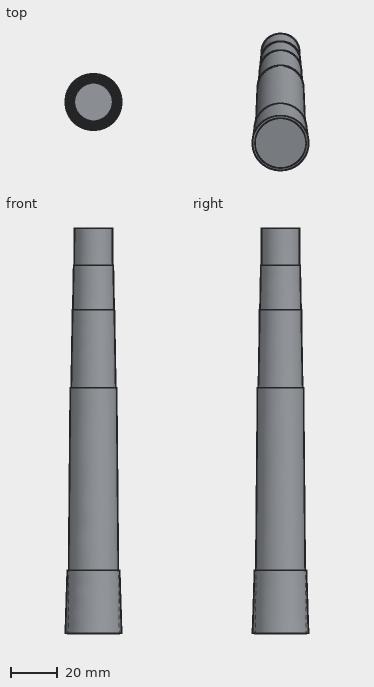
import cadquery as cq

TOTAL_HEIGHT = 173.47

SLEEVE_BOTTOM_Z = 0.25
SLEEVE_TOP_Z = 27.2
CORE_TOP_Z = 105.3
COLLAR_STEP_Z = 138.45
COLLAR_TOP_Z = 157.55

SLEEVE_BOTTOM_RADIUS = 12.07
SLEEVE_TOP_RADIUS = 11.23
CORE_BOTTOM_RADIUS = 10.92
CORE_TOP_RADIUS = 9.94
COLLAR_LOWER_BOTTOM_RADIUS = 9.55
COLLAR_LOWER_TOP_RADIUS = 8.98
COLLAR_UPPER_BOTTOM_RADIUS = 8.86
COLLAR_UPPER_TOP_RADIUS = 8.51
TIP_BOTTOM_RADIUS = 8.24
TIP_TOP_RADIUS = 8.20


def core_radius(z):
    """Radius of the core's taper at height z."""
    return CORE_BOTTOM_RADIUS + (CORE_TOP_RADIUS - CORE_BOTTOM_RADIUS) * z / CORE_TOP_Z


def turned(profile):
    """Solid of revolution about Z from a closed (radius, z) profile."""
    return cq.Workplane("XZ").polyline(profile).close().revolve(360, (0, 0, 0), (0, 1, 0))


def make_sleeve():
    """Tapered base sleeve, bored to fit the core that passes through it."""
    return turned([
        (core_radius(SLEEVE_BOTTOM_Z), SLEEVE_BOTTOM_Z),
        (SLEEVE_BOTTOM_RADIUS, SLEEVE_BOTTOM_Z),
        (SLEEVE_TOP_RADIUS, SLEEVE_TOP_Z),
        (core_radius(SLEEVE_TOP_Z), SLEEVE_TOP_Z),
    ])


def make_core():
    """Long, slightly tapered core, standing just proud of the sleeve's lower end."""
    return turned([
        (0, 0),
        (CORE_BOTTOM_RADIUS, 0),
        (CORE_TOP_RADIUS, CORE_TOP_Z),
        (0, CORE_TOP_Z),
    ])


def make_collar():
    """Tapered collar on top of the core, with one small step in its side."""
    return turned([
        (0, CORE_TOP_Z),
        (COLLAR_LOWER_BOTTOM_RADIUS, CORE_TOP_Z),
        (COLLAR_LOWER_TOP_RADIUS, COLLAR_STEP_Z),
        (COLLAR_UPPER_BOTTOM_RADIUS, COLLAR_STEP_Z),
        (COLLAR_UPPER_TOP_RADIUS, COLLAR_TOP_Z),
        (0, COLLAR_TOP_Z),
    ])


def make_tip():
    """Nearly straight tip with a flat end, on top of the collar."""
    return turned([
        (0, COLLAR_TOP_Z),
        (TIP_BOTTOM_RADIUS, COLLAR_TOP_Z),
        (TIP_TOP_RADIUS, TOTAL_HEIGHT),
        (0, TOTAL_HEIGHT),
    ])


sleeve = make_sleeve()
core = make_core()
collar = make_collar()
tip = make_tip()

result = cq.Compound.makeCompound([sleeve.val(), core.val(), collar.val(), tip.val()])